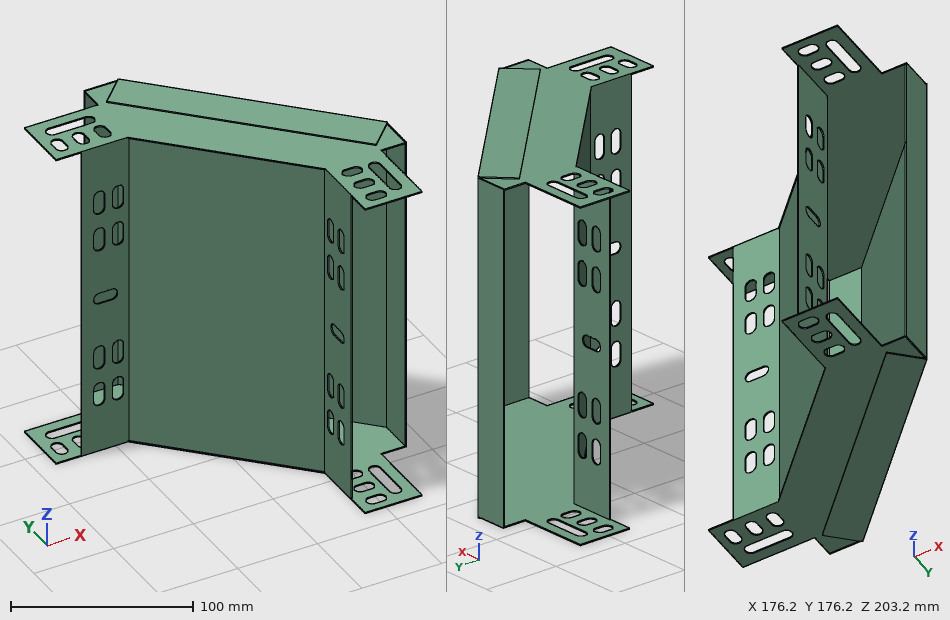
import cadquery as cq
import math


SHEET = 0.8
OUTER = 176.16
CLEAR_DEPTH = 50.0
CLEAR_HEIGHT = 200.0
MITRE = math.tan(math.radians(45 / 2))
DIAGONAL = math.sqrt(0.5)

WEB_BEND = 45.6
LID_BEND = 67.5
FLANGE_OVERHANG = 0.4

LID_INSIDE = OUTER - SHEET
LID_INSIDE_BEND = LID_BEND - SHEET * MITRE
WEB_INSIDE = LID_INSIDE - CLEAR_DEPTH
WEB_OUTSIDE = WEB_INSIDE - SHEET
BASE_HEIGHT = CLEAR_HEIGHT + 2 * SHEET

ARM_LENGTH = 46.2
STEP = 15.9
ARM_SIDE = OUTER - STEP
LID_FLANGE_WIDTH = 22.8

FLANGE_SLOT_WIDTH = 7.0
LONG_SLOT_LENGTH = 30.0
LONG_SLOT_CENTRE = (23.0, 149.9)
SHORT_SLOT_LENGTH = 12.0
SHORT_SLOT_PITCH = 13.5
SHORT_SLOT_MIDDLE = (22.1, 136.3)

WEB_SLOT_WIDTH = 7.0
WEB_SLOT_LENGTH = 15.0
WEB_SLOT_START = 23.6
WEB_SLOT_COLUMN_PITCH = 11.8
WEB_SLOT_HEIGHTS = (39.1, 63.3)


def mirrored(points):
    """Complete half of an outline, given up to the plane X = Y, with its mirror image."""
    return points + [(y, x) for x, y in reversed(points)]


def plate(points, bottom, height):
    """Upright prism on the given outline, from Z = bottom."""
    return cq.Workplane("XY").workplane(offset=bottom).polyline(points).close().extrude(height)


def bent_wall(start, bend, low_side, height):
    """Upright sheet of three panels, low_side <= Y <= low_side + SHEET in the first, centred on Z = 0.

    The low_side face turns 45 degrees at X = bend.
    """
    high_side = low_side + SHEET
    low_face = mirrored([(start, low_side), (bend, low_side)])
    high_face = mirrored([(start, high_side), (bend + SHEET * MITRE, high_side)])
    return plate(low_face + high_face[::-1], -height / 2, height)


def swap_arms(body):
    """Mirror a body about the plane X = Y."""
    return body.mirror("YZ").rotate((0, 0, 0), (0, 0, 1), -90)


def flange_slots():
    """Cutter for the slots of the arm along X, through both flanges."""
    middle, across = SHORT_SLOT_MIDDLE
    short_centres = [(middle + step * SHORT_SLOT_PITCH, across) for step in (-1, 0, 1)]
    short_slots = (
        cq.Workplane("XY").pushPoints(short_centres)
        .slot2D(SHORT_SLOT_LENGTH, FLANGE_SLOT_WIDTH, 90).extrude(BASE_HEIGHT, both=True)
    )
    long_slot = (
        cq.Workplane("XY").center(*LONG_SLOT_CENTRE)
        .slot2D(LONG_SLOT_LENGTH, FLANGE_SLOT_WIDTH).extrude(BASE_HEIGHT, both=True)
    )
    return short_slots.union(long_slot)


def web_slots():
    """Cutter for the slots of the web panel along X: four upright pairs and one level slot."""
    first_column = WEB_SLOT_START + WEB_SLOT_WIDTH / 2
    upright_centres = [
        (first_column + column * WEB_SLOT_COLUMN_PITCH, side * height)
        for column in (0, 1) for side in (-1, 1) for height in WEB_SLOT_HEIGHTS
    ]
    panel = cq.Workplane("XZ", origin=(0, WEB_OUTSIDE + SHEET / 2, 0))
    upright_slots = (
        panel.pushPoints(upright_centres)
        .slot2D(WEB_SLOT_LENGTH, WEB_SLOT_WIDTH, 90).extrude(SHEET, both=True)
    )
    level_slot = (
        panel.center(WEB_SLOT_START + WEB_SLOT_LENGTH / 2, 0)
        .slot2D(WEB_SLOT_LENGTH, WEB_SLOT_WIDTH).extrude(SHEET, both=True)
    )
    return upright_slots.union(level_slot)


def make_base():
    """Bent web with a slotted flange along its top and bottom edges."""
    flange_outline = mirrored([
        (WEB_BEND - FLANGE_OVERHANG / DIAGONAL, WEB_OUTSIDE),
        (0, WEB_OUTSIDE),
        (0, ARM_SIDE),
        (ARM_LENGTH, ARM_SIDE),
        (ARM_LENGTH, LID_INSIDE),
        (LID_INSIDE_BEND, LID_INSIDE),
    ])
    base = bent_wall(STEP, WEB_BEND, WEB_OUTSIDE, BASE_HEIGHT)
    for bottom in (-BASE_HEIGHT / 2, CLEAR_HEIGHT / 2):
        base = base.union(plate(flange_outline, bottom, SHEET))
    for cutter in (flange_slots(), web_slots()):
        base = base.cut(cutter).cut(swap_arms(cutter))
    return base


def make_lid():
    """Bent outer wall whose diagonal panel has flanges lapping over the base flanges."""
    inset = LID_FLANGE_WIDTH * DIAGONAL
    flange_outline = mirrored([(LID_BEND - inset, OUTER - inset), (LID_BEND, OUTER)])
    lid = bent_wall(ARM_LENGTH, LID_INSIDE_BEND, LID_INSIDE, BASE_HEIGHT)
    for bottom in (-BASE_HEIGHT / 2 - SHEET, BASE_HEIGHT / 2):
        lid = lid.union(plate(flange_outline, bottom, SHEET))
    return lid


base = make_base()
lid = make_lid()
result = cq.Compound.makeCompound([base.val(), lid.val()])